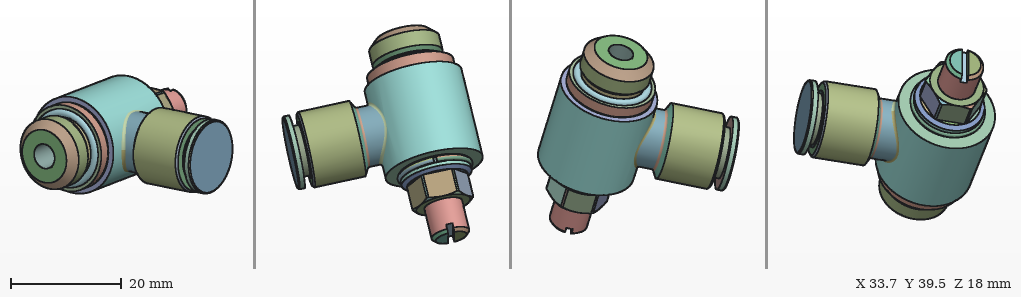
import cadquery as cq
import math


HOUSING_RADIUS = 9.0
HOUSING_HALF_LENGTH = 8.5
BORE_RADIUS = 6.5

NECK_RADIUS = 5.5
FLARE_ANGLE = 60
SOCKET_RADIUS = 7.0
SOCKET_START_X = 12.33
SOCKET_END_X = 22.05
SOCKET_CHAMFER = 0.35
LIP_RADIUS = 5.2
LIP_LENGTH = 0.1
SLEEVE_RADIUS = 4.7
FLANGE_RADIUS = 6.75
FLANGE_START_X = 23.5
BRANCH_END_X = 24.7
FLANGE_CHAMFER = 0.25
NECK_FILLET = 0.5

BOLT_END_Y = -17.3
NOSE_RADIUS = 4.95
NOSE_END_Y = -15.72
UNDERCUT_RADIUS = 5.85
THREAD_END_Y = -12.85
UNDERCUT_START_Y = -12.1
COLLAR_RADIUS = 8.02
SHOULDER_RADIUS = 7.82
SHOULDER_LENGTH = 0.15
COLLAR_FACE_Y = -10.85
SEAL_RADIUS = 7.3
INLET_RADIUS = 2.3

RING_RADIUS = 6.95
RING_THICKNESS = 1.03
RING_START_Y = 8.65
RING_GAP = 0.55
GROOVE_WIDTH = 1.1
GROOVE_DEPTH = 0.4
SHANK_END_Y = 11.05
SHANK_CHAMFER_LENGTH = 0.55
HEX_SIDES = 6
HEX_ACROSS_FLATS = 10.0
HEX_CORNER_RADIUS = 5.65
HEX_END_Y = 15.8
HEX_CHAMFER_ANGLE = 30
STEM_RADIUS = 3.5
STEM_END_Y = 22.2
STEM_CHAMFER = 0.65
SLOT_WIDTH = 1.2
SLOT_DEPTH = 1.45


def cylinder_y(radius, start_y, end_y):
    """Solid cylinder on the Y axis."""
    return cq.Workplane("XZ", origin=(0, start_y, 0)).circle(radius).extrude(start_y - end_y)


def make_branch():
    """Neck, socket and release sleeve turned about the X axis."""
    flare_length = (SOCKET_RADIUS - NECK_RADIUS) / math.tan(math.radians(FLARE_ANGLE))
    neck_end_x = SOCKET_START_X - flare_length
    sleeve_start_x = SOCKET_END_X + LIP_LENGTH
    branch = (
        cq.Workplane("XY")
        .lineTo(0, NECK_RADIUS)
        .lineTo(neck_end_x, NECK_RADIUS)
        .lineTo(SOCKET_START_X, SOCKET_RADIUS)
        .lineTo(SOCKET_END_X - SOCKET_CHAMFER, SOCKET_RADIUS)
        .lineTo(SOCKET_END_X, SOCKET_RADIUS - SOCKET_CHAMFER)
        .lineTo(SOCKET_END_X, LIP_RADIUS)
        .lineTo(sleeve_start_x, LIP_RADIUS)
        .lineTo(sleeve_start_x, SLEEVE_RADIUS)
        .lineTo(FLANGE_START_X, SLEEVE_RADIUS)
        .lineTo(FLANGE_START_X, FLANGE_RADIUS)
        .lineTo(BRANCH_END_X - FLANGE_CHAMFER, FLANGE_RADIUS)
        .lineTo(BRANCH_END_X, FLANGE_RADIUS - FLANGE_CHAMFER)
        .lineTo(BRANCH_END_X, 0)
        .close()
        .revolve(360, (0, 0, 0), (1, 0, 0))
    )
    neck_end = cq.selectors.NearestToPointSelector((neck_end_x, 0, 0))
    return branch.edges(neck_end).fillet(NECK_FILLET)


def make_housing():
    """Barrel with a side branch and a bore for the bolt."""
    barrel = cylinder_y(HOUSING_RADIUS, -HOUSING_HALF_LENGTH, HOUSING_HALF_LENGTH)
    body = barrel.union(make_branch())
    reach = NECK_RADIUS + NECK_FILLET
    joint = cq.selectors.BoxSelector(
        (0, -reach, -reach),
        (HOUSING_RADIUS + NECK_FILLET, reach, reach),
        boundingbox=True,
    )
    body = body.edges(joint).fillet(NECK_FILLET)
    bore = cylinder_y(BORE_RADIUS, -HOUSING_HALF_LENGTH, HOUSING_HALF_LENGTH)
    return body.cut(bore)


def make_shank():
    """Threaded end, seal, collar and grooved shank turned about the Y axis."""
    groove_radius = BORE_RADIUS - GROOVE_DEPTH
    seal_tube_radius = (SEAL_RADIUS - UNDERCUT_RADIUS) / 2
    seal_crest = (SEAL_RADIUS - seal_tube_radius, COLLAR_FACE_Y - seal_tube_radius)
    return (
        cq.Workplane("XY")
        .moveTo(0, BOLT_END_Y)
        .lineTo(NOSE_RADIUS, BOLT_END_Y)
        .lineTo(BORE_RADIUS, NOSE_END_Y)
        .lineTo(BORE_RADIUS, THREAD_END_Y)
        .lineTo(UNDERCUT_RADIUS, UNDERCUT_START_Y)
        .lineTo(UNDERCUT_RADIUS, COLLAR_FACE_Y)
        .threePointArc(seal_crest, (SEAL_RADIUS, COLLAR_FACE_Y))
        .lineTo(COLLAR_RADIUS, COLLAR_FACE_Y)
        .lineTo(COLLAR_RADIUS, -HOUSING_HALF_LENGTH - SHOULDER_LENGTH)
        .lineTo(SHOULDER_RADIUS, -HOUSING_HALF_LENGTH - SHOULDER_LENGTH)
        .lineTo(SHOULDER_RADIUS, -HOUSING_HALF_LENGTH)
        .lineTo(BORE_RADIUS, -HOUSING_HALF_LENGTH)
        .lineTo(BORE_RADIUS, RING_START_Y)
        .lineTo(groove_radius, RING_START_Y)
        .lineTo(groove_radius, RING_START_Y + GROOVE_WIDTH)
        .lineTo(BORE_RADIUS, RING_START_Y + GROOVE_WIDTH)
        .lineTo(BORE_RADIUS, SHANK_END_Y - SHANK_CHAMFER_LENGTH)
        .lineTo(HEX_CORNER_RADIUS, SHANK_END_Y)
        .lineTo(0, SHANK_END_Y)
        .close()
        .revolve(360, (0, 0, 0), (0, 1, 0))
    )


def make_retaining_ring():
    """Round-wire ring seated in the shank groove, split on the +Z side."""
    wire_radius = RING_THICKNESS / 2
    ring = (
        cq.Workplane("XY")
        .center(RING_RADIUS - wire_radius, RING_START_Y + wire_radius)
        .circle(wire_radius)
        .revolve(360, (wire_radius - RING_RADIUS, 0, 0), (wire_radius - RING_RADIUS, 1, 0))
    )
    gap = cq.Workplane("XY").center(0, RING_START_Y + wire_radius).rect(RING_GAP, RING_THICKNESS)
    return ring.cut(gap.extrude(RING_RADIUS))


def make_hexagon():
    """Hexagon with two flats facing along Z, turned corners and a conical chamfer on its outer end."""
    corner_diameter = HEX_ACROSS_FLATS / math.cos(math.pi / HEX_SIDES)
    flat_radius = HEX_ACROSS_FLATS / 2
    chamfer_height = (HEX_CORNER_RADIUS - flat_radius) * math.tan(math.radians(HEX_CHAMFER_ANGLE))
    prism = (
        cq.Workplane("XZ", origin=(0, SHANK_END_Y, 0))
        .polygon(HEX_SIDES, corner_diameter)
        .extrude(SHANK_END_Y - HEX_END_Y)
    )
    turned_envelope = (
        cq.Workplane("XY")
        .moveTo(0, SHANK_END_Y)
        .lineTo(HEX_CORNER_RADIUS, SHANK_END_Y)
        .lineTo(HEX_CORNER_RADIUS, HEX_END_Y - chamfer_height)
        .lineTo(flat_radius, HEX_END_Y)
        .lineTo(0, HEX_END_Y)
        .close()
        .revolve(360, (0, 0, 0), (0, 1, 0))
    )
    return prism.intersect(turned_envelope)


def make_stem():
    """Adjusting stem with a chamfered end and a screwdriver slot along Z."""
    stem = cylinder_y(STEM_RADIUS, HEX_END_Y, STEM_END_Y).faces(">Y").chamfer(STEM_CHAMFER)
    slot = (
        cq.Workplane("XY")
        .center(0, STEM_END_Y - SLOT_DEPTH / 2)
        .rect(SLOT_WIDTH, SLOT_DEPTH)
        .extrude(STEM_RADIUS, both=True)
    )
    return stem.cut(slot)


def make_bolt():
    """Hollow bolt through the housing, with an inlet reaching the branch axis."""
    inlet = cylinder_y(INLET_RADIUS, BOLT_END_Y, 0)
    bolt = make_shank().union(make_retaining_ring()).union(make_hexagon()).union(make_stem())
    return bolt.cut(inlet)


housing = make_housing()
bolt = make_bolt()

result = cq.Compound.makeCompound([housing.val(), bolt.val()])